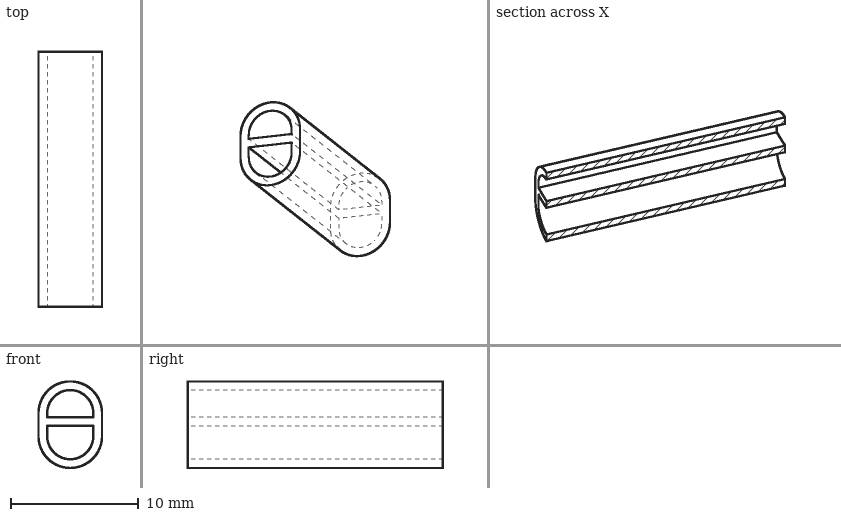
import cadquery as cq

length = 20.0
width = 5.0
height = 6.8
wall = 0.7
web_thickness = 0.7
web_center_z = 0.25

inner_width = width - 2 * wall
inner_height = height - 2 * wall


def obround_bar(bar_height, bar_width):
    """Bar along Y with an upright obround section, centred on the origin."""
    return (
        cq.Workplane("XZ")
        .slot2D(bar_height, bar_width, angle=90)
        .extrude(length / 2, both=True)
    )


def dividing_web(bore):
    """Flat web spanning the bore, trimmed to the bore outline."""
    slab = cq.Workplane("XY").box(width, length, web_thickness)
    return slab.translate((0, 0, web_center_z)).intersect(bore)


bore = obround_bar(inner_height, inner_width)
channels = bore.cut(dividing_web(bore))
result = obround_bar(height, width).cut(channels)